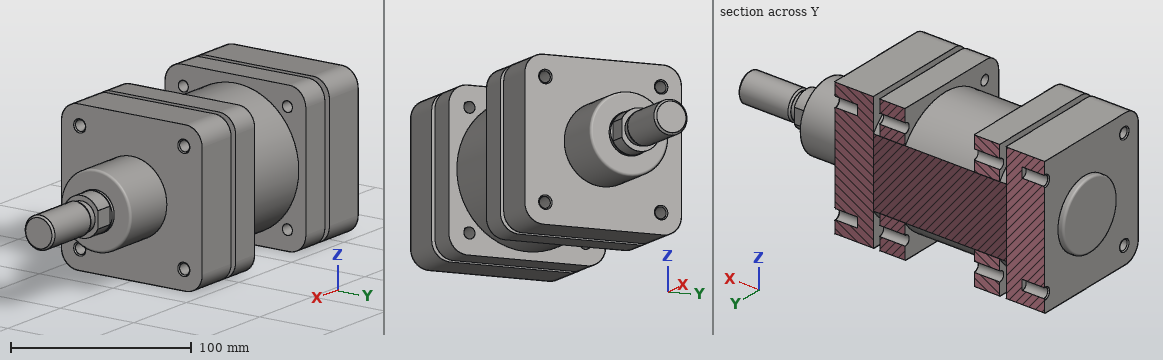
import cadquery as cq

overall_length = 241.0
plate_side = 96.0
corner_radius = 11.3

rear_boss_length = 4.0
cover_thickness = 27.5
cover_gap = 4.3
flange_thickness = 18.0
flange_spacing = 48.7
front_boss_length = 34.2

barrel_radius = 43.1
boss_radius = 23.9
boss_edge_radius = 1.5

hole_offset = 35.5
hole_radius = 3.4
hole_chamfer = 0.7
cover_hole_depth = 16.0

rod_radius = 12.5
rod_collar_length = 2.0
wrench_length = 11.5
wrench_radius = 12.3
wrench_width = 22.2
neck_radius = 9.2
neck_length = 4.0
tip_radius = 10.1
tip_chamfer = 1.2

rear_cover_start = rear_boss_length
barrel_start = rear_cover_start + cover_thickness
rear_flange_start = barrel_start + cover_gap
front_flange_start = rear_flange_start + flange_thickness + flange_spacing
barrel_end = front_flange_start + flange_thickness + cover_gap
front_cover_end = barrel_end + cover_thickness
front_boss_end = front_cover_end + front_boss_length
wrench_start = front_boss_end + rod_collar_length
neck_start = wrench_start + wrench_length
tip_start = neck_start + neck_length

hole_centres = [(y, z) for y in (-hole_offset, hole_offset) for z in (-hole_offset, hole_offset)]


def plane_at(x):
    """Plane normal to +X at station x, with local axes Y and Z."""
    return cq.Workplane("YZ", origin=(x, 0, 0))


def cylinder(x_start, x_end, radius):
    return plane_at(x_start).circle(radius).extrude(x_end - x_start)


def square_plate(x_start, thickness):
    plate = plane_at(x_start).rect(plate_side, plate_side).extrude(thickness)
    return plate.edges("|X").fillet(corner_radius)


def corner_holes(x_mouth, depth):
    """Cutter for four holes; a positive depth runs toward +X, a negative one toward -X."""
    drills = plane_at(x_mouth).pushPoints(hole_centres).circle(hole_radius).extrude(depth)
    for y, z in hole_centres:
        cone = cq.Solid.makeCone(
            hole_radius + hole_chamfer,
            hole_radius,
            hole_chamfer,
            cq.Vector(x_mouth, y, z),
            cq.Vector(depth, 0, 0),
        )
        drills = drills.union(cq.Workplane(cone))
    return drills


def make_rear_cover():
    boss = cylinder(0, rear_cover_start, boss_radius).faces("<X").edges().fillet(boss_edge_radius)
    cover = square_plate(rear_cover_start, cover_thickness).union(boss)
    return cover.cut(corner_holes(rear_cover_start, cover_hole_depth))


def make_front_cover():
    boss = cylinder(front_cover_end, front_boss_end, boss_radius)
    boss = boss.faces(">X").edges().fillet(boss_edge_radius)
    cover = square_plate(barrel_end, cover_thickness).union(boss)
    rod_bore = cylinder(barrel_end, front_boss_end, rod_radius)
    return cover.cut(rod_bore).cut(corner_holes(front_cover_end, -cover_hole_depth))


def make_barrel():
    return cylinder(barrel_start, barrel_end, barrel_radius)


def make_flange(x_start):
    """Square flange around the barrel with plain through holes in its corners."""
    x_end = x_start + flange_thickness
    screw_holes = plane_at(x_start).pushPoints(hole_centres).circle(hole_radius).extrude(flange_thickness)
    return square_plate(x_start, flange_thickness).cut(cylinder(x_start, x_end, barrel_radius)).cut(screw_holes)


def make_rod():
    """Rod passing through the front cover, with two wrench flats, a neck and a chamfered tip."""
    shank = cylinder(barrel_end, wrench_start, rod_radius)
    wrench_core = plane_at(wrench_start).rect(wrench_width, 2 * wrench_radius).extrude(wrench_length)
    wrench = cylinder(wrench_start, neck_start, wrench_radius).intersect(wrench_core)
    neck = cylinder(neck_start, tip_start, neck_radius)
    tip = cylinder(tip_start, overall_length, tip_radius).faces("<X or >X").edges().chamfer(tip_chamfer)
    return shank.union(wrench).union(neck).union(tip)


rear_cover = make_rear_cover()
front_cover = make_front_cover()
barrel = make_barrel()
flanges = [make_flange(x_start) for x_start in (rear_flange_start, front_flange_start)]
rod = make_rod()

result = cq.Compound.makeCompound(
    [
        rear_cover.val(),
        front_cover.val(),
        barrel.val(),
        *[flange.val() for flange in flanges],
        rod.val(),
    ]
)